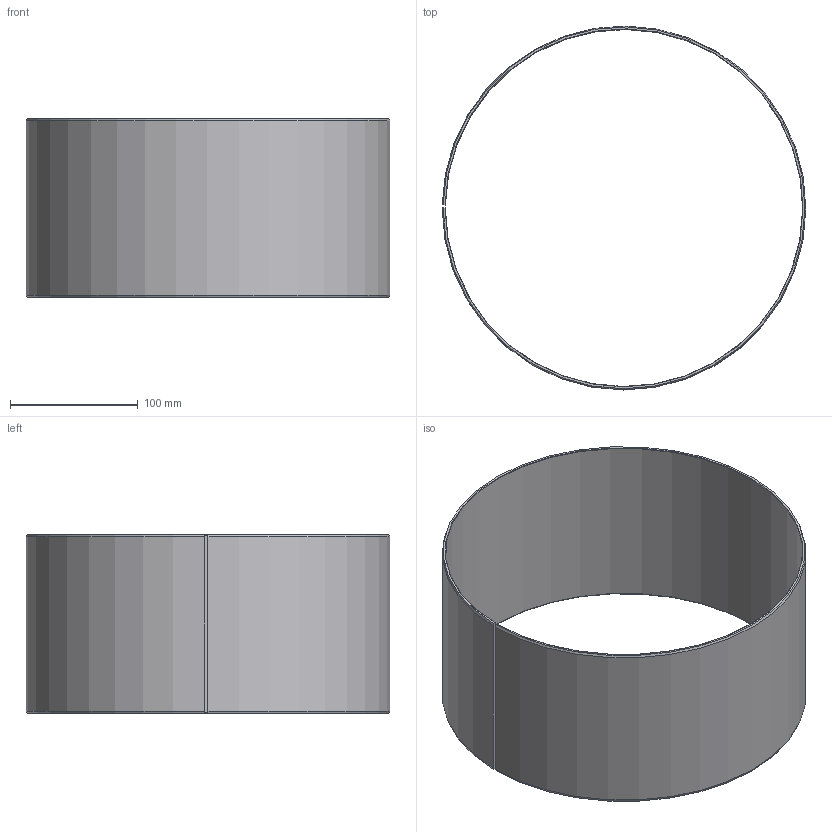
import cadquery as cq

outer_diameter = 285.0
height = 140.0
wall_thickness = 2.5

outer_bevel_depth = 0.7
outer_bevel_height = 1.75

inner_bevel_depth = 0.25
inner_bevel_height = 0.5

slit_angle = 1.0
sweep_angle = 360.0 - slit_angle

outer_radius = outer_diameter / 2
inner_radius = outer_radius - wall_thickness
rim_outer_radius = outer_radius - outer_bevel_depth
rim_inner_radius = inner_radius + inner_bevel_depth


def make_wall_section():
    """Closed wall section in the XZ plane, on the -X side of the ring axis."""
    section = [
        (-rim_inner_radius, 0),
        (-rim_outer_radius, 0),
        (-outer_radius, outer_bevel_height),
        (-outer_radius, height - outer_bevel_height),
        (-rim_outer_radius, height),
        (-rim_inner_radius, height),
        (-inner_radius, height - inner_bevel_height),
        (-inner_radius, inner_bevel_height),
    ]
    return cq.Workplane("XZ").polyline(section).close()


def make_split_ring():
    """Sweep the wall about Z from -X through -Y, so the slit lies on the +Y side of -X."""
    axis_start = (0, 0, 0)
    axis_end = (0, 1, 0)
    return make_wall_section().revolve(sweep_angle, axis_start, axis_end)


result = make_split_ring()